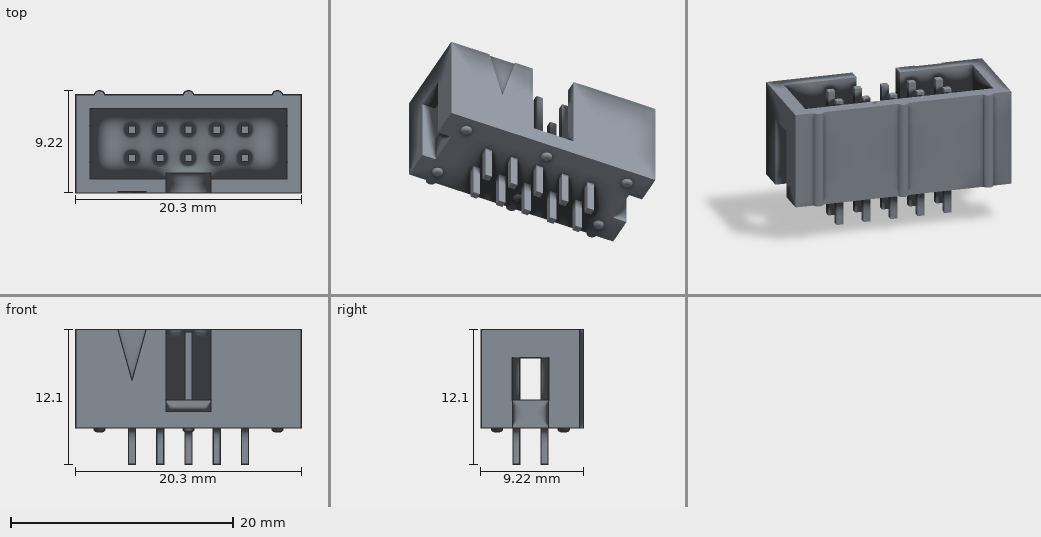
import cadquery as cq

BODY_LENGTH = 20.32
BODY_DEPTH = 8.85
BODY_HEIGHT = 8.87
END_WALL = 1.30
SIDE_WALL = 1.25
FLOOR_TOP = 2.54

KEY_WIDTH = 4.06
KEY_BOTTOM = 1.48
KEY_DEPTH = 1.80

WINDOW_WIDTH = 3.26
WINDOW_TOP = 6.32

PITCH = 2.54
COLUMNS = 5
ROWS = 2
PIN_SIZE = 0.64
PIN_TAIL = 3.25
PIN_TIP_BELOW_RIM = 0.23

MARK_X = -2 * PITCH
MARK_WIDTH = 2.54
MARK_HEIGHT = 4.58
MARK_DEPTH = 0.15

BUMP_SPACING = 8.0
RIB_RADIUS = 0.50
RIB_PROJECTION = 0.37
STANDOFF_Y = 3.0
STANDOFF_RADIUS = 0.51
STANDOFF_HEIGHT = 0.33
STANDOFF_RIM_RADIUS = 0.28

FRONT_Y = -BODY_DEPTH / 2
BACK_Y = BODY_DEPTH / 2
BUMP_X = [-BUMP_SPACING, 0, BUMP_SPACING]


def box_on(length, depth, height, bottom):
    """Box centred on X and Y whose lower face is at Z = bottom."""
    return cq.Workplane("XY").workplane(offset=bottom).rect(length, depth).extrude(height)


def make_shell():
    outer = box_on(BODY_LENGTH, BODY_DEPTH, BODY_HEIGHT, 0)
    cavity = box_on(
        BODY_LENGTH - 2 * END_WALL,
        BODY_DEPTH - 2 * SIDE_WALL,
        BODY_HEIGHT - FLOOR_TOP,
        FLOOR_TOP,
    )
    return outer.cut(cavity)


def make_key_slot():
    """Slot down the front wall that also bites into the floor."""
    slot = box_on(KEY_WIDTH, KEY_DEPTH, BODY_HEIGHT - KEY_BOTTOM, KEY_BOTTOM)
    return slot.translate((0, FRONT_Y + KEY_DEPTH / 2, 0))


def make_end_window(side):
    """Window in the end wall on the given side (-1 or +1 along X)."""
    window = box_on(END_WALL, WINDOW_WIDTH, WINDOW_TOP, 0)
    return window.translate((side * (BODY_LENGTH - END_WALL) / 2, 0, 0))


def make_pin_one_mark():
    """Triangular recess pointing down from the rim of the front face."""
    return (
        cq.Workplane("XZ", origin=(MARK_X, FRONT_Y, BODY_HEIGHT))
        .moveTo(-MARK_WIDTH / 2, 0)
        .lineTo(MARK_WIDTH / 2, 0)
        .lineTo(0, -MARK_HEIGHT)
        .close()
        .extrude(-MARK_DEPTH)
    )


def make_back_ribs():
    """Round full-height ribs partly sunk into the back wall."""
    rib_y = BACK_Y + RIB_PROJECTION - RIB_RADIUS
    centres = [(x, rib_y) for x in BUMP_X]
    return cq.Workplane("XY").pushPoints(centres).circle(RIB_RADIUS).extrude(BODY_HEIGHT)


def make_standoffs():
    """Two rows of round buttons with well-rounded rims, hanging below the housing."""
    centres = [(x, y) for x in BUMP_X for y in (-STANDOFF_Y, STANDOFF_Y)]
    buttons = cq.Workplane("XY").pushPoints(centres).circle(STANDOFF_RADIUS).extrude(-STANDOFF_HEIGHT)
    return buttons.faces("<Z").edges().fillet(STANDOFF_RIM_RADIUS)


def make_pins():
    pin_length = PIN_TAIL + BODY_HEIGHT - PIN_TIP_BELOW_RIM
    return (
        cq.Workplane("XY")
        .workplane(offset=-PIN_TAIL)
        .rarray(PITCH, PITCH, COLUMNS, ROWS)
        .rect(PIN_SIZE, PIN_SIZE)
        .extrude(pin_length)
    )


housing = make_shell().cut(make_key_slot()).cut(make_pin_one_mark())
for end in (-1, 1):
    housing = housing.cut(make_end_window(end))

result = housing.union(make_back_ribs()).union(make_standoffs()).union(make_pins())